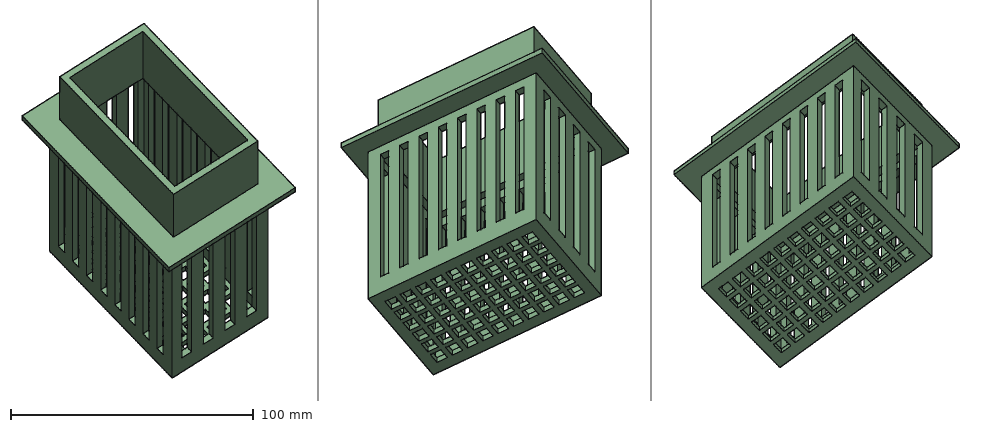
import cadquery as cq

basket_length = 82.0
basket_width = 50.0
wall = 3.0
floor_thickness = 3.0

flange_length = 98.0
flange_width = 66.0
flange_thickness = 3.0
collar_length = 76.0
collar_width = 44.0
collar_height = 30.0
total_height = 123

flange_bottom = total_height - collar_height - flange_thickness
flange_top = flange_bottom + flange_thickness
opening_length = collar_length - 2 * wall
opening_width = collar_width - 2 * wall

slot_bottom = 10.0
slot_height = 75
slot_margin = 6.0
long_side_slots = 8
long_side_slot_width = 4.0
long_side_slot_pitch = (basket_length - 2 * slot_margin - long_side_slot_width) / (long_side_slots - 1)
short_side_slots = 4
short_side_slot_width = 5.0
short_side_slot_pitch = 11.3

floor_hole = 5.0
floor_hole_columns = 10
floor_hole_rows = 6
floor_margin = 5.0
floor_pitch_x = (basket_length - 2 * floor_margin - floor_hole) / (floor_hole_columns - 1)
floor_pitch_y = (basket_width - 2 * floor_margin - floor_hole) / (floor_hole_rows - 1)


def block(length, width, height, bottom):
    """Box centred on the Z axis with its underside at the given height."""
    return cq.Workplane("XY").box(length, width, height, (True, True, False)).translate((0, 0, bottom))


body = block(basket_length, basket_width, flange_bottom, 0)
body = body.union(block(flange_length, flange_width, flange_thickness, flange_bottom))
body = body.union(block(collar_length, collar_width, collar_height, flange_top))

cavity_length = basket_length - 2 * wall
cavity_width = basket_width - 2 * wall
body = body.cut(block(cavity_length, cavity_width, flange_bottom - floor_thickness, floor_thickness))
body = body.cut(block(opening_length, opening_width, total_height - flange_bottom, flange_bottom))

first_slot_x = -basket_length / 2 + slot_margin + long_side_slot_width / 2
for i in range(long_side_slots):
    slot = block(long_side_slot_width, basket_width, slot_height, slot_bottom)
    body = body.cut(slot.translate((first_slot_x + i * long_side_slot_pitch, 0, 0)))

first_slot_y = basket_width / 2 - slot_margin - short_side_slot_width / 2
for i in range(short_side_slots):
    slot = block(basket_length, short_side_slot_width, slot_height, slot_bottom)
    body = body.cut(slot.translate((0, first_slot_y - i * short_side_slot_pitch, 0)))

floor_holes = (
    cq.Workplane("XY")
    .rarray(floor_pitch_x, floor_pitch_y, floor_hole_columns, floor_hole_rows)
    .rect(floor_hole, floor_hole)
    .extrude(floor_thickness)
)
result = body.cut(floor_holes)